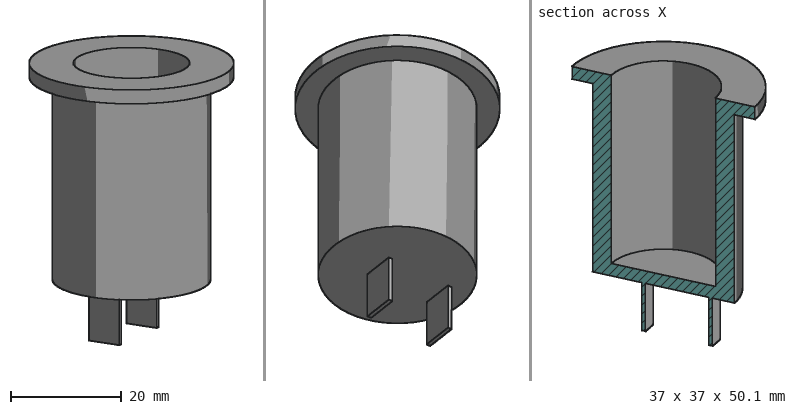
import cadquery as cq

total_height = 50.1

flange_diameter = 37.0
flange_thickness = 2.6
body_diameter = 28.7
bore_diameter = 21.0
floor_thickness = flange_thickness

tab_length = 9.6
tab_width = 6.3
tab_thickness = 0.8
tab_y_centers = (4.0, -9.5)

body_height = total_height - tab_length - flange_thickness
bore_depth = body_height + flange_thickness - floor_thickness


def make_cup():
    """Cylindrical body with a top flange and a blind bore."""
    body = cq.Workplane("XY").workplane(offset=tab_length).circle(body_diameter / 2).extrude(body_height)
    flanged = body.faces(">Z").workplane().circle(flange_diameter / 2).extrude(flange_thickness)
    return flanged.faces(">Z").workplane().hole(bore_diameter, bore_depth)


def make_tab(y_center):
    """Rectangular blade rising from Z = 0 to the underside of the cup."""
    blade = cq.Workplane("XY").box(tab_width, tab_thickness, tab_length, centered=(True, True, False))
    return blade.translate((0, y_center, 0))


result = make_cup()
for tab_y in tab_y_centers:
    result = result.union(make_tab(tab_y))